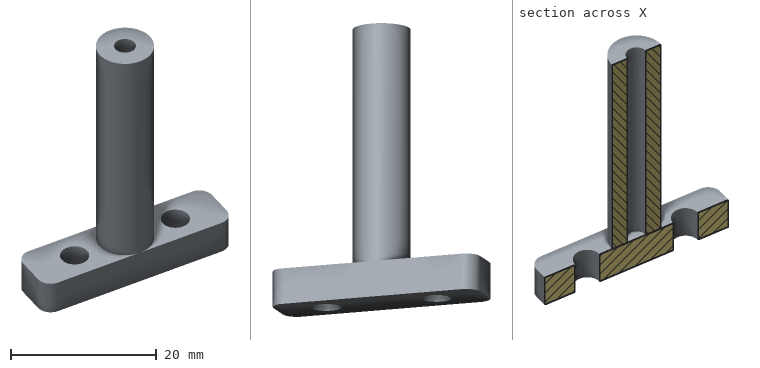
import cadquery as cq

total_height = 38.5
plate_width = 8.0
plate_length = 30.0
plate_thickness = 5.0
corner_radius = 2.0

mount_hole_diameter = 4.0
mount_hole_offset = 8.0

post_diameter = plate_width
post_height = total_height - plate_thickness
bore_diameter = 3.0


def make_plate():
    """Flat bar with rounded vertical corners and two through holes."""
    bar = (
        cq.Workplane("XY")
        .rect(plate_width, plate_length)
        .extrude(plate_thickness)
        .edges("|Z")
        .fillet(corner_radius)
    )
    hole_centres = [(0, -mount_hole_offset), (0, mount_hole_offset)]
    return bar.faces(">Z").workplane().pushPoints(hole_centres).hole(mount_hole_diameter)


def make_post():
    """Round tubular post resting on the plate, which closes the lower end of its bore."""
    cylinder = (
        cq.Workplane("XY")
        .workplane(offset=plate_thickness)
        .circle(post_diameter / 2)
        .extrude(post_height)
    )
    return cylinder.faces(">Z").workplane().hole(bore_diameter)


plate = make_plate()
post = make_post()

result = cq.Compound.makeCompound([plate.val(), post.val()])